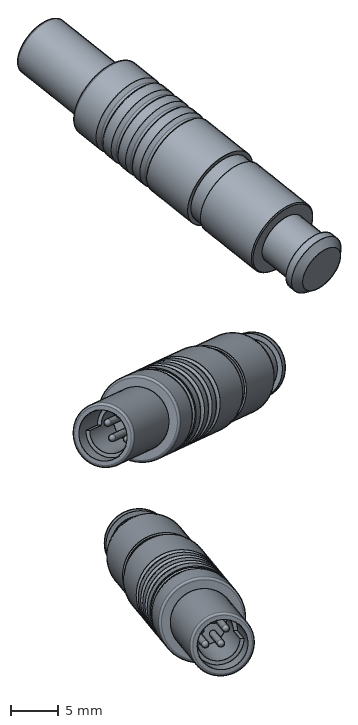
import cadquery as cq
import math

total_length = 43.5

plug_radius = 3.5
plug_length = 10.0
edge_round = 0.25

body_radius = 4.7
body_end = 27.8
groove_width = 1.05
groove_ramp_length = 0.52
groove_ramp_drop = 0.25
first_groove_start = 13.6
first_groove_wall = 0.15
grip_start = 15.95
grip_pitch = 2.2
grip_count = 3

neck_radius = 4.2
sleeve_start = 29.5
sleeve_radius = 4.45
sleeve_end = 37.5
sleeve_chamfer = 0.15

stem_radius = 3.0
flange_radius = 3.55
flange_start = 41.8
flange_chamfer = 0.83

bore_radius = 2.75
bore_depth = 5.2
inner_bore_radius = 2.3
socket_depth = 8.7

key_depth = 2.0

pin_count = 5
pin_circle_radius = 1.45
pin_radius = 0.4
pin_tip_depth = 4.35


def add_groove(profile, start, wall=0.0):
    """Add a groove: a sloped ramp, then a tangent arc rising to the foot of an optional wall."""
    end = start + groove_width
    profile = (
        profile.lineTo(start, body_radius)
        .lineTo(start + groove_ramp_length, body_radius - groove_ramp_drop)
        .tangentArcPoint((end, body_radius - wall), relative=False)
    )
    if wall > 0:
        profile = profile.lineTo(end, body_radius)
    return profile


def add_rounded_corner(profile, face_x, radius):
    """Climb a flat face at face_x and round its outer corner onto the given radius."""
    return profile.lineTo(face_x, radius - edge_round).radiusArc(
        (face_x + edge_round, radius), edge_round
    )


def make_shell():
    """Revolve the solid outer shape about the X axis."""
    profile = cq.Workplane("XY").moveTo(0, 0)
    profile = add_rounded_corner(profile, 0, plug_radius)
    profile = profile.lineTo(plug_length, plug_radius)
    profile = add_rounded_corner(profile, plug_length, body_radius)
    profile = add_groove(profile, first_groove_start, first_groove_wall)
    for index in range(grip_count):
        profile = add_groove(profile, grip_start + index * grip_pitch)
    profile = (
        profile.lineTo(body_end, body_radius)
        .lineTo(body_end, neck_radius)
        .lineTo(sleeve_start, neck_radius)
        .lineTo(sleeve_start, sleeve_radius)
        .lineTo(sleeve_end - sleeve_chamfer, sleeve_radius)
        .lineTo(sleeve_end, sleeve_radius - sleeve_chamfer)
        .lineTo(sleeve_end, stem_radius)
        .lineTo(flange_start, stem_radius)
        .lineTo(flange_start, flange_radius)
        .lineTo(total_length - flange_chamfer, flange_radius)
        .lineTo(total_length, flange_radius - flange_chamfer)
        .lineTo(total_length, 0)
        .close()
    )
    return profile.revolve(360, (0, 0, 0), (1, 0, 0))


def make_socket():
    """Stepped blind bore opening at the mating end."""
    outer_bore = cq.Workplane("YZ").circle(bore_radius).extrude(bore_depth)
    inner_bore = cq.Workplane("YZ").circle(inner_bore_radius).extrude(socket_depth)
    return outer_bore.union(inner_bore)


def make_key():
    """Half ring below Z = 0, from key_depth to the bore step, rooted in the plug wall."""
    root_radius = (bore_radius + plug_radius) / 2
    root_depth = (bore_depth + socket_depth) / 2
    return (
        cq.Workplane("XY")
        .moveTo(key_depth, inner_bore_radius)
        .lineTo(root_depth, inner_bore_radius)
        .lineTo(root_depth, root_radius)
        .lineTo(key_depth, root_radius)
        .close()
        .revolve(180, (0, 0, 0), (-1, 0, 0))
    )


def make_pins():
    """Round-nosed pins, evenly spaced with one at the top, rising from the socket floor."""
    centres = []
    for index in range(pin_count):
        angle = math.pi / 2 + index * 2 * math.pi / pin_count
        centres.append((pin_circle_radius * math.cos(angle), pin_circle_radius * math.sin(angle)))
    nose_start = pin_tip_depth + pin_radius
    root = socket_depth + pin_radius
    shafts = (
        cq.Workplane("YZ", origin=(nose_start, 0, 0))
        .pushPoints(centres)
        .circle(pin_radius)
        .extrude(root - nose_start)
    )
    noses = cq.Workplane("YZ", origin=(nose_start, 0, 0)).pushPoints(centres).sphere(pin_radius)
    return shafts.union(noses)


result = make_shell().cut(make_socket()).union(make_key()).union(make_pins())